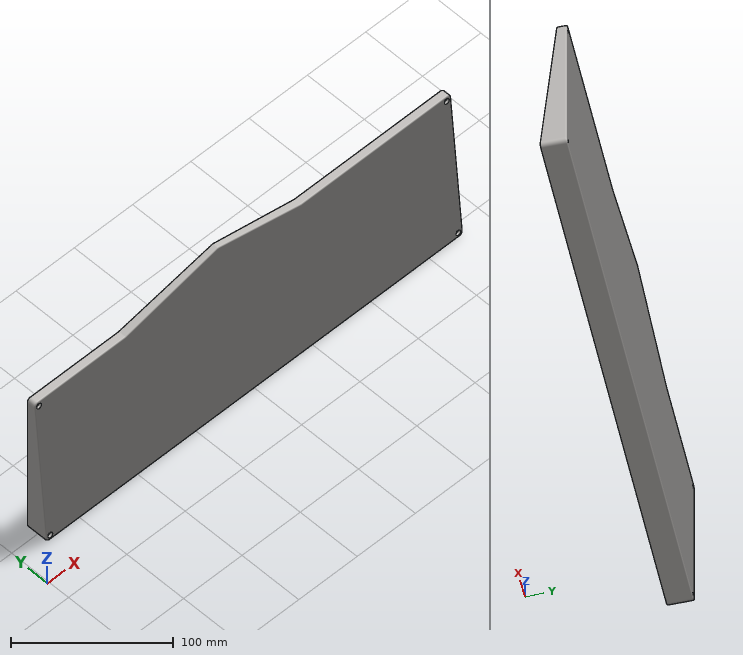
import cadquery as cq
import math

length = 357.63
peak_height = 138.22
base_depth = 17.42

left_shoulder_height = 121.0
right_shoulder_height = 123.2
left_shoulder_x = 78.5
peak_x = 159.5
right_shoulder_x = 229.5

front_slope = math.radians(5.0)

corner_radius = 3.0
edge_radius = 1.0

hole_diameter = 1.62
counterbore_diameter = 4.0
counterbore_depth = 2.0
hole_inset = 3.8

cut_margin = 1.0


def front_face_y(z):
    """Y of the sloping front face at height z."""
    return z * math.tan(front_slope)


def make_blank():
    """Outline extruded from Y = 0 to the flat back, with all its corners rounded."""
    outline = [
        (0, 0),
        (length, 0),
        (length, right_shoulder_height),
        (right_shoulder_x, right_shoulder_height),
        (peak_x, peak_height),
        (left_shoulder_x, left_shoulder_height),
        (0, left_shoulder_height),
    ]
    blank = cq.Workplane("XZ").polyline(outline).close().extrude(-base_depth)
    return blank.edges("|Y").fillet(corner_radius)


def make_front_wedge():
    """Material to remove in front of the sloping face."""
    bottom = -cut_margin
    top = peak_height + cut_margin
    profile = [
        (-cut_margin, bottom),
        (front_face_y(bottom), bottom),
        (front_face_y(top), top),
        (-cut_margin, top),
    ]
    start = cq.Workplane("YZ", origin=(-cut_margin, 0, 0))
    return start.polyline(profile).close().extrude(length + 2 * cut_margin)


def drill_screw_holes(body):
    """Through hole along Y in each corner, counterbored from the sloping face."""
    left_x = hole_inset
    right_x = length - hole_inset
    centers = [
        (left_x, hole_inset),
        (right_x, hole_inset),
        (left_x, left_shoulder_height - hole_inset),
        (right_x, right_shoulder_height - hole_inset),
    ]
    for x, z in centers:
        floor = cq.Workplane("XZ", origin=(x, front_face_y(z) + counterbore_depth, z))
        counterbore = floor.circle(counterbore_diameter / 2).extrude(counterbore_depth + cut_margin)
        hole = floor.circle(hole_diameter / 2).extrude(-base_depth)
        body = body.cut(counterbore).cut(hole)
    return body


body = make_blank().cut(make_front_wedge())
body = body.faces(">Y or <Y").fillet(edge_radius)
result = drill_screw_holes(body)